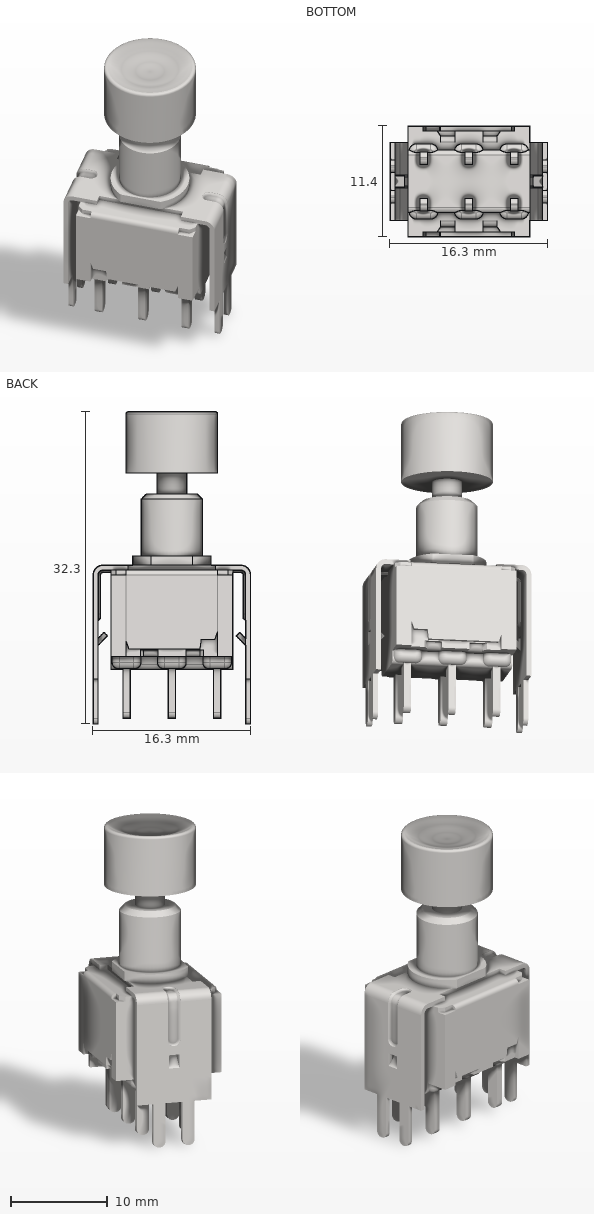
import cadquery as cq
import math


terminal_tip_z = 0.6
leg_top_z = 4.68
base_bottom_z = 5.65
housing_bottom_z = 6.97
frame_bottom_z = 7.75
sheet = 0.52
bracket_top_z = 16.45
frame_top_z = bracket_top_z - sheet
housing_top_z = frame_top_z - sheet
flange_top_z = 17.4
bushing_top_z = 23.8
cap_bottom_z = 25.93
cap_top_z = 32.3

cap_diameter = 9.5
cap_edge_radius = 0.25
dish_radius = 4.4
dish_depth = 0.75

plunger_diameter = 3.1
bushing_diameter = 6.35
bushing_chamfer = 0.55
flange_diameter = 8.15
flange_flat_width = 6.9

housing_length = 12.6
housing_width = 11.43
frame_width = 9.43
plate_chamfer = 0.52
fold_radius = 0.5
panel_corner_inset = 0.3
left_corner_height = 0.77
right_corner_height = 0.8
step_z = 8.75
step_top_x = 3.05
step_bottom_x = 2.9
notch_inner_x = 1.45
notch_outer_x = 3.25
notch_height = 0.68
notch_depth = 0.52
notch_edge_radius = 0.6
notch_flare = 0.35

base_width = 6.45
base_edge_radius = 0.52
boss_length = 2.97
boss_corner_radius = 0.75
boss_edge_radius = 0.6
boss_bottom_z = 5.75
boss_reach = 3.87
terminal_pitch = 4.68
terminal_y = 2.4
terminal_thickness = 0.77

bracket_length = 16.27
bracket_width = 8.07
bend_radius = 1.0
waist_length = 9.05
waist_width = 6.33
leg_y = 1.58
blade_width = 1.3
blade_tip_radius = 0.58
rib_width = 1.35
rib_end_radius = 0.65
rib_depth = 0.25
rib_slope = 0.23
rib_end_x = 5.68
rib_end_z = 10.72
window_width = 1.15
window_bottom_z = 8.15
window_top_z = 9.8
tongue_root_z = 8.35
tongue_tip_z = 9.5


def box(x_size, y_size, z_low, z_high):
    """Box centred on the Z axis between two levels."""
    return cq.Workplane("XY").workplane(offset=z_low).rect(x_size, y_size).extrude(z_high - z_low)


def cylinder(diameter, z_low, z_high):
    """Cylinder on the Z axis between two levels."""
    return cq.Workplane("XY").workplane(offset=z_low).circle(diameter / 2).extrude(z_high - z_low)


def both_sides(body, plane):
    """The body together with its mirror image."""
    return body.union(body.mirror(plane))


def blade(thickness, z_low, z_high):
    """Flat contact blade, thin along X, with a rounded lower tip."""
    return box(thickness, blade_width, z_low, z_high).edges("|X and <Z").fillet(blade_tip_radius)


def make_cap():
    """Cylindrical cap with a rounded rim and a shallow spherical dish."""
    cap = cylinder(cap_diameter, cap_bottom_z, cap_top_z).faces(">Z").edges().fillet(cap_edge_radius)
    sphere_radius = (dish_radius ** 2 + dish_depth ** 2) / (2 * dish_depth)
    sphere_z = cap_top_z - dish_depth + sphere_radius
    return cap.cut(cq.Workplane("XY").sphere(sphere_radius).translate((0, 0, sphere_z)))


def make_bushing():
    """Bushing with a flatted flange and the plunger that carries the cap."""
    flange = cylinder(flange_diameter, bracket_top_z, flange_top_z)
    flange = flange.intersect(box(flange_diameter, flange_flat_width, bracket_top_z, flange_top_z))
    bushing = cylinder(bushing_diameter, flange_top_z, bushing_top_z)
    bushing = bushing.faces(">Z").edges().chamfer(bushing_chamfer)
    plunger = cylinder(plunger_diameter, bushing_top_z, cap_bottom_z)
    return flange.union(bushing).union(plunger)


def make_housing():
    """Housing block with a recess for the frame and lower notches on both long sides."""
    block = box(housing_length, housing_width, housing_bottom_z, housing_top_z)
    core_width = housing_width - 2 * sheet
    recess = box(frame_width, housing_width, housing_bottom_z, housing_top_z).cut(
        box(frame_width, core_width, housing_bottom_z, housing_top_z))
    block = block.cut(recess)
    mouth_y = -core_width / 2
    back_y = mouth_y + notch_depth
    notch = (
        cq.Workplane("XY", origin=(0, 0, housing_bottom_z))
        .polyline([
            (notch_inner_x, mouth_y), (notch_outer_x, mouth_y), (notch_outer_x - notch_flare, back_y),
            (notch_outer_x - notch_flare, 0), (notch_inner_x, 0),
        ])
        .close()
        .extrude(notch_height)
    )
    ledge = box(housing_length, 2 * abs(back_y), housing_bottom_z, housing_bottom_z + notch_height)
    ledge = ledge.edges("|X and <Z").fillet(notch_edge_radius)
    notches = both_sides(notch.cut(ledge), "YZ")
    return block.cut(both_sides(notches, "XZ"))


def make_frame():
    """Sheet frame: a top plate and two stepped side panels folded down over the housing."""
    plate = box(housing_length, housing_width - 2 * sheet, housing_top_z, frame_top_z)
    plate = plate.edges("|Z").chamfer(plate_chamfer)
    half = frame_width / 2
    corner_x = half - panel_corner_inset
    outline = [
        (-half, frame_top_z),
        (-half, step_z + left_corner_height),
        (-corner_x, step_z),
        (-step_top_x, step_z),
        (-step_bottom_x, frame_bottom_z),
        (corner_x, frame_bottom_z),
        (half, frame_bottom_z + right_corner_height),
        (half, frame_top_z),
    ]
    panel = cq.Workplane("XZ", origin=(0, -housing_width / 2, 0)).polyline(outline).close().extrude(-sheet)
    panel = panel.edges("|X and >Z and <Y").fillet(fold_radius)
    return plate.union(both_sides(panel, "XZ"))


def make_base():
    """Rounded base below the housing with six terminal bosses and six terminals."""
    base = box(housing_length, base_width, base_bottom_z, housing_bottom_z)
    base = base.edges("|X and <Z").fillet(base_edge_radius)
    for x in (-terminal_pitch, 0, terminal_pitch):
        boss = box(boss_length, 2 * boss_reach, boss_bottom_z, housing_bottom_z)
        boss = boss.edges("|Z").fillet(boss_corner_radius).faces("<Z").edges().fillet(boss_edge_radius)
        base = base.union(boss.translate((x, 0, 0)))
        for y in (-terminal_y, terminal_y):
            terminal = blade(terminal_thickness, terminal_tip_z, housing_bottom_z)
            base = base.union(terminal.translate((x, y, 0)))
    return base


def bent_strip(inset, thickness, width, end_x, end_z):
    """Strip that follows the bracket bend on the +X side, its outer face inset from the sheet's."""
    outer_x = bracket_length / 2 - inset
    top_z = bracket_top_z - inset
    outer_bend = bend_radius - inset
    inner_x = outer_x - thickness
    inner_bend = outer_bend - thickness
    bend_x = outer_x - outer_bend
    bend_z = top_z - outer_bend
    outer_reach = outer_bend * math.sqrt(0.5)
    inner_reach = inner_bend * math.sqrt(0.5)
    return (
        cq.Workplane("XZ", origin=(0, width / 2, 0))
        .moveTo(end_x, top_z)
        .lineTo(bend_x, top_z)
        .threePointArc((bend_x + outer_reach, bend_z + outer_reach), (outer_x, bend_z))
        .lineTo(outer_x, end_z)
        .lineTo(inner_x, end_z)
        .lineTo(inner_x, bend_z)
        .threePointArc((bend_x + inner_reach, bend_z + inner_reach), (bend_x, top_z - thickness))
        .lineTo(end_x, top_z - thickness)
        .close()
        .extrude(width)
    )


def rib_strip(inset):
    """Rib with round ends and sloped walls, used as the groove outside and the bead inside."""
    rib = bent_strip(inset, rib_depth, rib_width, rib_end_x, rib_end_z)
    rib = rib.edges("<X and |Z").fillet(rib_end_radius).edges("<Z and |X").fillet(rib_end_radius)
    inner_face_x = bracket_length / 2 - inset - rib_depth
    middle_z = (rib_end_z + frame_top_z) / 2
    inner_face = cq.selectors.NearestToPointSelector((inner_face_x, 0, middle_z))
    return rib.faces(inner_face).edges().chamfer(rib_slope)


def make_bracket_side():
    """The +X half of the bracket: bent sheet, pressed rib, latch tongue and two legs."""
    outer_x = bracket_length / 2
    side = bent_strip(0, sheet, bracket_width, waist_length / 2, leg_top_z)
    waist = box(waist_length / 2, waist_width, frame_top_z, bracket_top_z)
    side = side.union(waist.translate((waist_length / 4, 0, 0)))
    for y in (-leg_y, leg_y):
        side = side.union(blade(sheet, 0, leg_top_z).translate((outer_x - sheet / 2, y, 0)))
    side = side.union(rib_strip(sheet)).cut(rib_strip(0))

    window = box(sheet, window_width, window_bottom_z, window_top_z).translate((outer_x - sheet / 2, 0, 0))
    run = tongue_tip_z - tongue_root_z
    drop = sheet * math.sqrt(0.5)
    tongue_tip_x = outer_x - run
    tongue = (
        cq.Workplane("XZ", origin=(0, window_width / 2, 0))
        .polyline([
            (outer_x, window_bottom_z), (outer_x, tongue_root_z), (tongue_tip_x, tongue_tip_z),
            (tongue_tip_x - drop, tongue_tip_z - drop), (outer_x - sheet, window_bottom_z),
        ])
        .close()
        .extrude(window_width)
    )
    return side.cut(window).union(tongue)


cap = make_cap()

bracket = both_sides(make_bracket_side(), "YZ")
switch = make_housing().union(make_base()).union(make_bushing()).union(bracket)
switch = switch.union(make_frame(), clean=False)

result = cq.Compound.makeCompound([switch.val(), cap.val()])